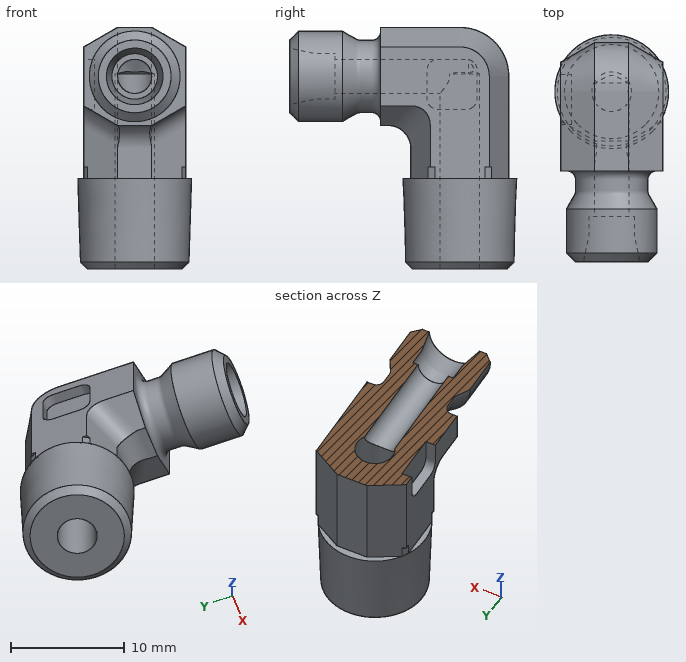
import cadquery as cq
import math

hex_flats = 9.0
section_height = 8.65
axis_z = 17.0
arm_length = 7.0
inner_bend_radius = 2.0

stud_length = 8.0
stud_top_diameter = 10.05
stud_taper = 1 / 16
stud_chamfer = 0.65
trim_diameter = 10.03
trim_height = 1.0

spigot_end = 15.0
spigot_diameter = 8.0
spigot_chamfer = 0.79
neck_diameter = 6.4
neck_fillet = 0.75
cone_end = 10.35
cone_angle = math.radians(30)

seat_mouth_diameter = 5.0
tube_diameter = 4.0
seat_angle = math.radians(12)
tube_depth = 4.0
cross_bore_diameter = 3.0
cross_bore_end = 0.77
stud_bore_diameter = 3.5
stud_bore_rise = 0.2
drill_half_angle = math.radians(59)

recess_size = 4.42
recess_y = -0.68
recess_z = 16.3
recess_depth = 0.95
recess_corner_radius = 0.95

half_flats = hex_flats / 2
half_height = section_height / 2
hex_corner = half_flats / math.cos(math.pi / 6)
side_flat = hex_corner / 2


def at_bend(workplane_name):
    return cq.Workplane(workplane_name, origin=(0, 0, axis_z))


def drill(radius, start, end):
    """Drill of a given radius along +Z, with its point beyond the end height."""
    point_length = radius / math.tan(drill_half_angle)
    return (
        cq.Workplane("XZ")
        .polyline([(0, start), (radius, start), (radius, end), (0, end + point_length)])
        .close()
        .revolve(360, (0, 0), (0, 1))
    )


def lay_along_arm(shape):
    """Turn a shape built along +Z so that it lies along -Y on the horizontal axis."""
    return shape.rotate((0, 0, 0), (1, 0, 0), 90).translate((0, 0, axis_z))


def make_elbow(upper_section, corner_height):
    """Bent bar whose section is the given upper half, mirrored below the axis.

    The inner corner of the bend is rounded where the two lower faces meet.
    """
    lower_section = [(x, -height) for x, height in upper_section]
    section = upper_section + lower_section[::-1]
    leg = cq.Workplane("XY", origin=(0, 0, stud_length)).polyline(section).close()
    leg = leg.extrude(axis_z - stud_length)
    arm = at_bend("XZ").polyline(section).close().extrude(arm_length)
    first_x = upper_section[0][0]
    last_x = upper_section[-1][0]
    half_section = [(first_x, 0)] + upper_section + [(last_x, 0)]
    bend = at_bend("XZ").polyline(half_section).close().revolve(90, (0, 0), (-1, 0))
    corner = cq.selectors.NearestToPointSelector(
        ((first_x + last_x) / 2, -corner_height, axis_z - corner_height)
    )
    return leg.union(arm).union(bend).clean().edges(corner).fillet(inner_bend_radius)


def make_body():
    """Hexagonal elbow with its upper and lower corners cut flat by a rectangular one."""
    half_hexagon = make_elbow(
        [(0, hex_corner), (half_flats, side_flat)],
        (hex_corner + side_flat) / 2,
    )
    hexagon = half_hexagon.union(half_hexagon.mirror("YZ"))
    rectangle = make_elbow(
        [(-half_flats, half_height), (half_flats, half_height)],
        half_height,
    )
    return hexagon.intersect(rectangle)


def trim_corners(body):
    """Turn the body's vertical corners to a round just above the stud."""
    ring = cq.Workplane("XY", origin=(0, 0, stud_length)).circle(hex_flats).circle(trim_diameter / 2)
    return body.cut(ring.extrude(trim_height))


def make_stud():
    top_radius = stud_top_diameter / 2
    lower_radius = top_radius - (stud_length - stud_chamfer) * stud_taper / 2
    return (
        cq.Workplane("XZ")
        .moveTo(0, 0)
        .lineTo(lower_radius - stud_chamfer, 0)
        .lineTo(lower_radius, stud_chamfer)
        .lineTo(top_radius, stud_length)
        .lineTo(0, stud_length)
        .close()
        .revolve(360, (0, 0), (0, 1))
    )


def make_spigot():
    radius = spigot_diameter / 2
    neck_radius = neck_diameter / 2
    cone_start = cone_end - (radius - neck_radius) / math.tan(cone_angle)
    cone_tangent = neck_fillet * math.tan(cone_angle / 2)
    arc_half_rise = neck_fillet * (1 - math.cos(cone_angle / 2))
    arc_start = cone_start - cone_tangent
    root_offset = neck_fillet * (1 - math.sqrt(0.5))
    profile = (
        cq.Workplane("XZ")
        .moveTo(0, arm_length)
        .lineTo(neck_radius + neck_fillet, arm_length)
        .threePointArc(
            (neck_radius + root_offset, arm_length + root_offset),
            (neck_radius, arm_length + neck_fillet),
        )
        .lineTo(neck_radius, arc_start)
        .threePointArc(
            (neck_radius + arc_half_rise, arc_start + neck_fillet * math.sin(cone_angle / 2)),
            (
                neck_radius + cone_tangent * math.sin(cone_angle),
                cone_start + cone_tangent * math.cos(cone_angle),
            ),
        )
        .lineTo(radius, cone_end)
        .lineTo(radius, spigot_end - spigot_chamfer)
        .lineTo(radius - spigot_chamfer, spigot_end)
        .lineTo(0, spigot_end)
        .close()
    )
    return lay_along_arm(profile.revolve(360, (0, 0), (0, 1)))


def make_tube_seat():
    mouth_radius = seat_mouth_diameter / 2
    tube_radius = tube_diameter / 2
    seat_length = (mouth_radius - tube_radius) / math.tan(seat_angle)
    profile = (
        cq.Workplane("XZ")
        .moveTo(0, spigot_end)
        .lineTo(mouth_radius, spigot_end)
        .lineTo(tube_radius, spigot_end - seat_length)
        .lineTo(tube_radius, spigot_end - tube_depth)
        .lineTo(0, spigot_end - tube_depth)
        .close()
    )
    return lay_along_arm(profile.revolve(360, (0, 0), (0, 1)))


def make_cross_bore():
    bore = drill(cross_bore_diameter / 2, -spigot_end, cross_bore_end)
    return bore.rotate((0, 0, 0), (1, 0, 0), -90).translate((0, 0, axis_z))


def make_recess():
    return (
        cq.Workplane("YZ", origin=(-half_flats, recess_y, recess_z))
        .rect(recess_size, recess_size)
        .extrude(recess_depth)
        .edges("|X")
        .fillet(recess_corner_radius)
    )


result = (
    trim_corners(make_body())
    .union(make_stud())
    .union(make_spigot())
    .cut(make_tube_seat())
    .cut(make_cross_bore())
    .cut(drill(stud_bore_diameter / 2, 0, axis_z + stud_bore_rise))
    .cut(make_recess())
)